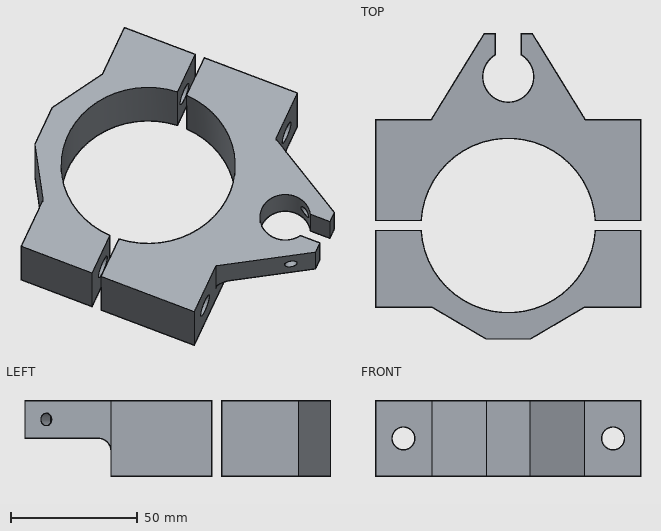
import cadquery as cq
import math

width = 105.0
height = 30.0
bore_radius = 34.5
half_gap = 1.9
bolt_hole_diameter = 9.0
bolt_offset = 41.5

upper_shoulder_y = 42.0
tab_tip_y = 76.0
tab_root_half_width = 30.5
tab_tip_half_width = 9.5
tab_thickness = height / 2
tab_fillet_radius = 5.0

seat_radius = 10.0
seat_y = 58.9
slot_width = 10.2
screw_hole_diameter = 5.0
screw_offset = 0.4

lower_shoulder_y = 32.4
lower_tip_y = 121 - tab_tip_y
lower_root_half_width = 30.1
lower_tip_half_width = 8.7


def clamp_blank(direction, shoulder_y, tip_y, root_half_width, tip_half_width):
    """Clamp half with a tapered nose, extending from the gap along +Y or -Y."""
    points = [
        (-width / 2, half_gap),
        (-width / 2, shoulder_y),
        (-root_half_width, shoulder_y),
        (-tip_half_width, tip_y),
        (tip_half_width, tip_y),
        (root_half_width, shoulder_y),
        (width / 2, shoulder_y),
        (width / 2, half_gap),
    ]
    outline = [(x, direction * y) for x, y in points]
    return cq.Workplane("XY").polyline(outline).close().extrude(height)


def cut_bore_and_bolts(body):
    """Cut the clamped bore along Z and the two clamping bolt holes along Y."""
    bore = cq.Workplane("XY").circle(bore_radius).extrude(height)
    bolts = (
        cq.Workplane("XZ", origin=(0, 0, height / 2))
        .pushPoints([(-bolt_offset, 0), (bolt_offset, 0)])
        .circle(bolt_hole_diameter / 2)
        .extrude(tab_tip_y, both=True)
    )
    return body.cut(bore).cut(bolts)


def tab_relief():
    """Space below the tab, with a rounded inner corner at the tab root."""
    return (
        cq.Workplane("XY")
        .box(width, tab_tip_y - upper_shoulder_y, height - tab_thickness, centered=(True, False, False))
        .translate((0, upper_shoulder_y, 0))
        .edges("<Y and >Z")
        .fillet(tab_fillet_radius)
    )


def rod_seat():
    """Round seat through the tab, opened at the tip by a narrower slot."""
    seat = cq.Workplane("XY").center(0, seat_y).circle(seat_radius).extrude(height)
    slot = (
        cq.Workplane("XY")
        .box(slot_width, tab_tip_y - seat_y, height, centered=(True, False, False))
        .translate((0, seat_y, 0))
    )
    return seat.union(slot)


def set_screw_hole(side):
    """Hole square to a sloping tab flank, passing close to the seat axis."""
    rise = tab_tip_y - upper_shoulder_y
    run = tab_root_half_width - tab_tip_half_width
    outward = cq.Vector(side * rise, run, 0)
    toward_root = cq.Vector(side * run, -rise, 0).normalized()
    seat_centre = cq.Vector(0, seat_y, height - tab_thickness / 2)
    start = seat_centre + toward_root * screw_offset
    length = math.hypot(rise, run)
    return cq.Solid.makeCylinder(screw_hole_diameter / 2, length, start, outward)


def make_upper_clamp():
    body = clamp_blank(1, upper_shoulder_y, tab_tip_y, tab_root_half_width, tab_tip_half_width)
    body = cut_bore_and_bolts(body).cut(tab_relief()).cut(rod_seat())
    for side in (-1, 1):
        body = body.cut(cq.Workplane(set_screw_hole(side)))
    return body


def make_lower_clamp():
    body = clamp_blank(-1, lower_shoulder_y, lower_tip_y, lower_root_half_width, lower_tip_half_width)
    return cut_bore_and_bolts(body)


upper_clamp = make_upper_clamp()
lower_clamp = make_lower_clamp()
result = cq.Compound.makeCompound([upper_clamp.val(), lower_clamp.val()])